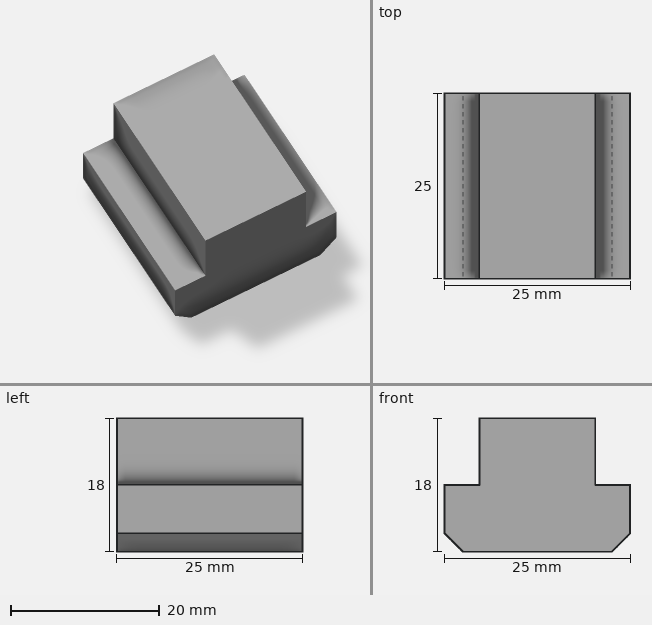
import cadquery as cq

base_width = 25.0
length = 25.0
total_height = 18.0
base_height = 9.0
neck_width = 15.6
chamfer_size = 2.5

base = cq.Workplane("XY").box(base_width, length, base_height, centered=(True, True, False))

base = base.faces("<Z").edges("|Y").chamfer(chamfer_size)

neck_height = total_height - base_height
neck = (
    cq.Workplane("XY")
    .workplane(offset=base_height)
    .box(neck_width, length, neck_height, centered=(True, True, False))
)

result = base.union(neck)